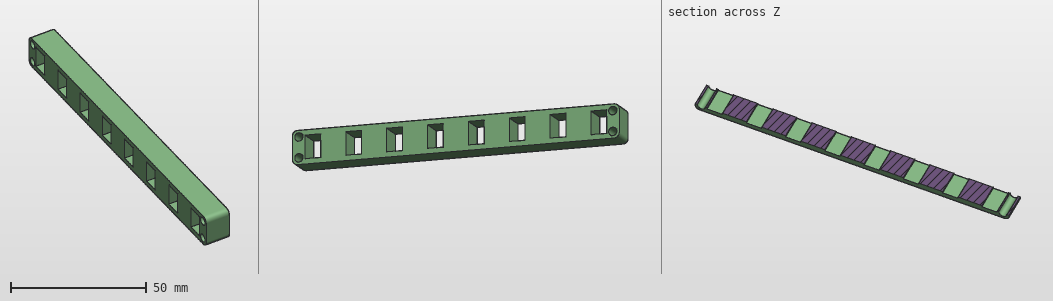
import cadquery as cq

length = 128.0
depth = 10.0
height = 13.0
corner_radius = 2.0

window_count = 8
window_pitch = length / window_count
window_width = 6.1
window_height = 9.0

hole_diameter = 3.2
hole_inset = 2.5


def make_bar():
    """Bar whose four long-face corners are rounded about the Y axis."""
    return cq.Workplane("XY").box(length, depth, height).edges("|Y").fillet(corner_radius)


def cut_windows(body):
    """Cut the centred row of windows through the depth."""
    return (
        body.faces("<Y").workplane(centerOption="CenterOfBoundBox")
        .rarray(window_pitch, 1.3, window_count, 1)
        .rect(window_width, window_height)
        .cutThruAll()
    )


def cut_corner_holes(body):
    """Drill the four corner holes through the depth."""
    return (
        body.faces("<Y").workplane(centerOption="CenterOfBoundBox")
        .rect(length - 2 * hole_inset, height - 2 * hole_inset, forConstruction=True)
        .vertices()
        .hole(hole_diameter)
    )


result = cut_corner_holes(cut_windows(make_bar()))